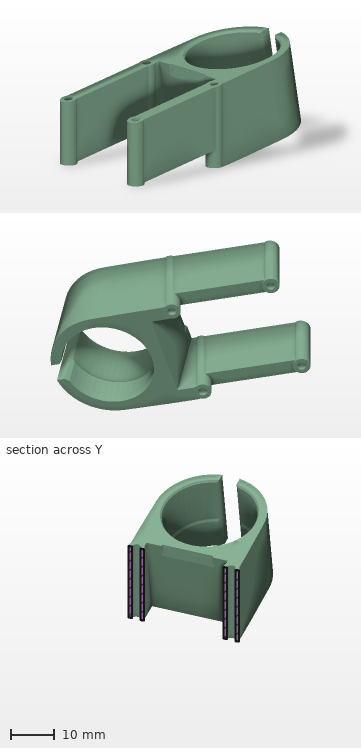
import cadquery as cq
import math

tilt = 10
slope = math.tan(math.radians(tilt))
front_top_z = 15.05
body_depth = 19.6
arm_depth = 14.8

pin_diameter = 4.0
pin_radius = pin_diameter / 2
pin_hole_diameter = 2.0
pin_x = 11.77
pin_rows = (pin_radius, 25.8)

arm_width = 3.4
arm_overlap = 0.6
arm_outer_x = pin_x + arm_width / 2

ring_centre = 42.15
ring_radius = 13.3
flank_end = 31.15
wall_position = 28.35
bore_radius = 11.05
bore_chamfer = 0.35
bore_chamfer_depth = 0.45
lip_radius = 10.75
lip_height = 7.35
lip_shoulder = 0.65
slot_width = 4.35
slot_flare_start = 11.15
slot_flare_length = 1.15

notch_half_width = 6.55
notch_depth = 0.5
notch_side_inset = 0.45
notch_height = notch_depth / math.sin(math.radians(tilt))

margin = 5.8
envelope = 173.5


def tilted():
    """Workplane parallel to the top face and lying on it; local Y runs up the slope."""
    normal = (0, -math.sin(math.radians(tilt)), math.cos(math.radians(tilt)))
    plane = cq.Plane(origin=(0, 0, front_top_z), xDir=(1, 0, 0), normal=normal)
    return cq.Workplane(plane)


def top_z(y):
    return front_top_z + y * slope


def make_clamp_block():
    return (
        tilted()
        .moveTo(-arm_outer_x, wall_position)
        .lineTo(-arm_outer_x, flank_end)
        .lineTo(-ring_radius, ring_centre)
        .threePointArc((0, ring_centre + ring_radius), (ring_radius, ring_centre))
        .lineTo(arm_outer_x, flank_end)
        .lineTo(arm_outer_x, wall_position)
        .close()
        .extrude(-body_depth)
    )


def make_arm(side):
    """Shallow between the pins, full clamp depth behind the rear pin."""
    front_y, rear_y = pin_rows
    back_top_y = (wall_position + arm_overlap) * math.cos(math.radians(tilt))
    back_bottom_y = back_top_y + body_depth * math.sin(math.radians(tilt))
    arm_drop = arm_depth / math.cos(math.radians(tilt))
    body_drop = body_depth / math.cos(math.radians(tilt))
    profile = [
        (front_y, top_z(front_y)),
        (front_y, top_z(front_y) - arm_drop),
        (rear_y, top_z(rear_y) - arm_drop),
        (rear_y, top_z(rear_y) - body_drop),
        (back_bottom_y, top_z(back_bottom_y) - body_drop),
        (back_top_y, top_z(back_top_y)),
    ]
    return (
        cq.Workplane("YZ", origin=(side * pin_x, 0, 0))
        .polyline(profile)
        .close()
        .extrude(arm_width / 2, both=True)
    )


def make_bore():
    """Bore with a chamfered mouth and a narrower lip at the bottom, met by a conical shoulder."""
    lip_top = -body_depth + lip_height
    half_profile = [
        (0, 0),
        (bore_radius + bore_chamfer, 0),
        (bore_radius, -bore_chamfer_depth),
        (bore_radius, lip_top + lip_shoulder),
        (lip_radius, lip_top),
        (lip_radius, -body_depth),
        (0, -body_depth),
    ]
    return (
        tilted()
        .center(0, ring_centre)
        .transformed(rotate=(90, 0, 0))
        .polyline(half_profile)
        .close()
        .revolve(360, (0, 0), (0, 1))
    )


def make_slot():
    """Parallel slot through the ring, with its inner corners bevelled."""
    half_width = slot_width / 2
    flared_half_width = half_width + slot_flare_length
    outside = ring_centre + ring_radius + margin
    bevel_start = ring_centre + slot_flare_start
    bevel_end = bevel_start - slot_flare_length
    return (
        tilted()
        .polyline([
            (-half_width, outside),
            (-half_width, bevel_start),
            (-flared_half_width, bevel_end),
            (flared_half_width, bevel_end),
            (half_width, bevel_start),
            (half_width, outside),
        ])
        .close()
        .extrude(-body_depth)
    )


def make_notch():
    """Upright-backed wedge with splayed ends, fading out down the leaning front wall."""
    splayed = (
        tilted()
        .polyline([
            (-notch_half_width, wall_position),
            (notch_half_width, wall_position),
            (notch_half_width - notch_side_inset, wall_position + notch_depth),
            (-notch_half_width + notch_side_inset, wall_position + notch_depth),
        ])
        .close()
        .extrude(-notch_height)
    )
    back_y = (wall_position + notch_depth) * math.cos(math.radians(tilt))
    in_front = cq.Workplane("XY").box(envelope, back_y, envelope, centered=(True, False, True))
    return splayed.intersect(in_front)


pin_points = [(side * pin_x, y) for side in (-1, 1) for y in pin_rows]
pin_stock_height = top_z(max(pin_rows)) + margin

pins = cq.Workplane("XY").pushPoints(pin_points).circle(pin_radius).extrude(pin_stock_height)
pin_holes = (
    cq.Workplane("XY").pushPoints(pin_points).circle(pin_hole_diameter / 2).extrude(pin_stock_height)
)
below_top = tilted().rect(envelope, envelope).extrude(-envelope)
above_base = cq.Workplane("XY").rect(envelope, envelope).extrude(envelope)

result = make_clamp_block().cut(make_bore()).cut(make_slot()).cut(make_notch())
for arm_side in (-1, 1):
    result = result.union(make_arm(arm_side))
result = result.union(pins.intersect(below_top)).intersect(above_base).cut(pin_holes)